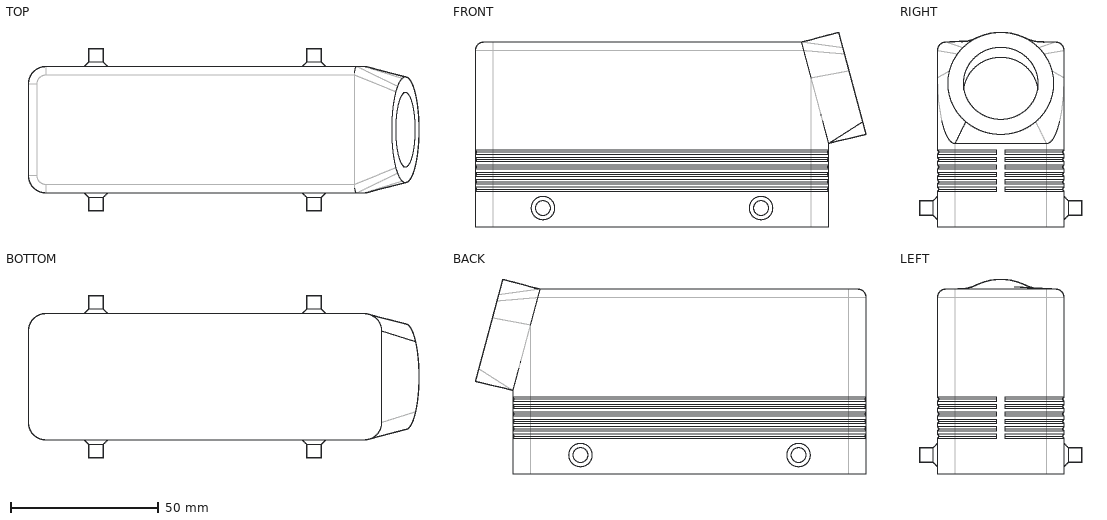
import cadquery as cq
import math


body_length = 119.9
body_width = 43.0
body_height = 62.8
corner_radius = 6.0
top_fillet = 2.9

total_length = 132.6
total_height = 66.2
entry_tilt = 15.0
entry_diameter = 35.9
bore_diameter = 25.3
entry_bottom_height = 28.4

groove_count = 6
groove_pitch = 2.5
groove_width = 1.5
groove_depth = 0.5
lowest_groove_height = 12.9
groove_gap = 2.9

pin_diameter = 5.0
pin_height = 6.5
pin_positions = (23.0, 96.9)
pin_span = 55.0
collar_diameter = 8.0

half_width = body_width / 2
entry_radius = entry_diameter / 2
tilt = math.radians(entry_tilt)
entry_axis = cq.Vector(math.cos(tilt), 0, math.sin(tilt))
cut_bottom = cq.Vector(body_length, 0, entry_bottom_height)
mouth_center = cq.Vector(
    total_length - entry_radius * math.sin(tilt),
    0,
    total_height - entry_radius * math.cos(tilt),
)
entry_length = (mouth_center - cut_bottom).dot(entry_axis)
cut_center = mouth_center - entry_axis * entry_length


def make_body():
    """Rounded block with its upper right end sliced off at the entry tilt."""
    block = (
        cq.Workplane("XY")
        .box(body_length, body_width, body_height, centered=(False, True, False))
        .edges("|Z").fillet(corner_radius)
        .faces(">Z").edges().fillet(top_fillet)
    )
    cut_plane = cq.Plane(origin=cut_center, xDir=(0, 1, 0), normal=entry_axis)
    beyond_cut = cq.Workplane(cut_plane).rect(2 * body_height, 2 * body_height).extrude(body_length)
    return block.cut(beyond_cut)


def onto_mouth(point):
    """Move a point of the sliced face along the entry axis and radially onto the mouth circle."""
    return mouth_center + (point - cut_center).normalized() * entry_radius


def make_entry(body):
    """Ruled neck from the sliced face of the body to the round mouth."""
    root_face = body.faces(cq.selectors.ParallelDirSelector(entry_axis)).val()
    root_wire = root_face.outerWire()
    mouth_arcs = []
    for edge in root_wire.Edges():
        start, middle, end = (onto_mouth(edge.positionAt(t)) for t in (0, 0.5, 1))
        mouth_arcs.append(cq.Edge.makeThreePointArc(start, middle, end))
    mouth_wire = cq.Wire.assembleEdges(mouth_arcs)
    return cq.Workplane(cq.Solid.makeLoft([root_wire, mouth_wire], True))


def make_bore():
    """Blind bore through the length of the neck."""
    return cq.Workplane(
        cq.Solid.makeCylinder(bore_diameter / 2, entry_length, cut_center, entry_axis)
    )


def make_groove(height):
    """V cutter around one half of the housing, mirrored to the other half.

    The V flares on outside the wall, so it has the groove width at the wall surface.
    """
    gap_edge = groove_gap / 2
    straight_side = half_width - corner_radius
    bend = corner_radius * (1 - math.sqrt(0.5))
    path = (
        cq.Workplane("XY", origin=(0, 0, height))
        .moveTo(0, gap_edge)
        .lineTo(0, straight_side)
        .threePointArc((bend, half_width - bend), (corner_radius, half_width))
        .lineTo(body_length - corner_radius, half_width)
        .threePointArc((body_length - bend, half_width - bend), (body_length, straight_side))
        .lineTo(body_length, gap_edge)
    )
    half_groove = (
        cq.Workplane("XZ", origin=(0, gap_edge, height))
        .polyline([
            (-groove_depth, groove_width),
            (groove_depth, 0),
            (-groove_depth, -groove_width),
        ])
        .close()
        .sweep(path)
    )
    return half_groove.union(half_groove.mirror("XZ"))


def make_pin(x):
    """Pin through both side walls, with a 45 degree conical collar at each wall."""
    pin_radius = pin_diameter / 2
    collar_radius = collar_diameter / 2
    collar_height = collar_radius - pin_radius
    pin_side = (
        cq.Workplane("XY")
        .lineTo(collar_radius, 0)
        .lineTo(collar_radius, half_width)
        .lineTo(pin_radius, half_width + collar_height)
        .lineTo(pin_radius, pin_span / 2)
        .lineTo(0, pin_span / 2)
        .close()
        .revolve(360, (0, 0, 0), (0, 1, 0))
        .translate((x, 0, pin_height))
    )
    return pin_side.union(pin_side.mirror("XZ"))


body = make_body()
result = body.union(make_entry(body)).cut(make_bore())

for index in range(groove_count):
    result = result.cut(make_groove(lowest_groove_height + index * groove_pitch))

for pin_x in pin_positions:
    result = result.union(make_pin(pin_x))